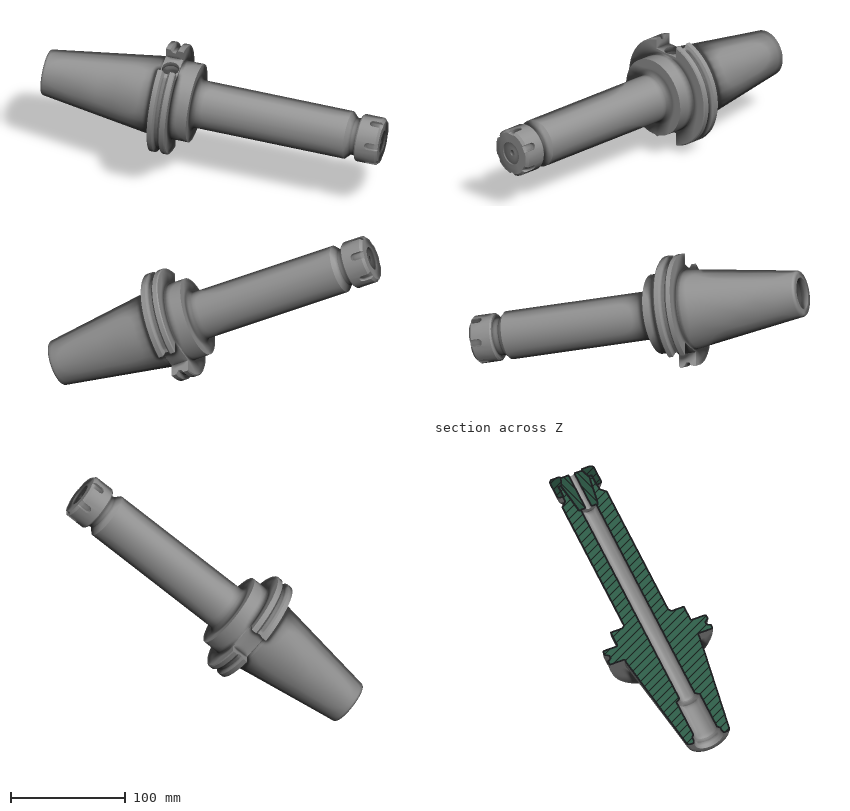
import cadquery as cq
import math


EDGE_MARGIN = 0.3

TAPER_LENGTH = 101.5
GAUGE_DIAMETER = 69.8
TAPER_PER_LENGTH = 7 / 24
TAPER_END_DIAMETER = GAUGE_DIAMETER - TAPER_LENGTH * TAPER_PER_LENGTH
TAPER_END_ROUND = 2.7
FLANGE_START = 105.0
FLANGE_WIDTH = 16.0
FLANGE_END = FLANGE_START + FLANGE_WIDTH
FLANGE_DIAMETER = 98.0
FLANGE_CHAMFER = 1.0
FLANGE_ROOT_FILLET = 1.0
COLLAR_DIAMETER = 69.8
COLLAR_END = 136.2

GROOVE_CENTER = 112.5
GROOVE_FLOOR_WIDTH = 2.7
GROOVE_DEPTH = 3.5
GROOVE_MOUTH_WIDTH = 7.0
SLOT_WIDTH = 25.5
UPPER_SLOT_FLOOR = 37.5
LOWER_SLOT_FLOOR = 35.5
DIMPLE_X = FLANGE_START + FLANGE_WIDTH / 2
DIMPLE_DIAMETER = 15.2
DIMPLE_WALL_DEPTH = 4.5
DRILL_TIP_ANGLE = 120

SHANK_DIAMETER = 42.5
SHANK_END = 274.3
SHANK_FILLET = 3.7
NECK_DIAMETER = 33.0
THREAD_DIAMETER = 32.0
NOSE_END = 295.7

ENTRY_MOUTH_DIAMETER = 28.0
ENTRY_DIAMETER = 26.2
ENTRY_MOUTH_DEPTH = 3.0
ENTRY_DEPTH = 6.0
DRAWBAR_THREAD_DIAMETER = 22.0
DRAWBAR_THREAD_END = 45.7
COOLANT_BORE_DIAMETER = 14.3
COOLANT_MOUTH_DIAMETER = 16.0

COLLET_START = 265.2
COLLET_END = 303.3
COLLET_BACK_DIAMETER = 17.5
COLLET_SHOULDER_DIAMETER = 26.2
COLLET_FRONT_DIAMETER = 20.5
COLLET_BORE_DIAMETER = 5.2

NUT_START = 284.0
NUT_END = 304.8
NUT_DIAMETER = 42.0
NUT_REAR_CHAMFER = 1.2
NUT_FRONT_CHAMFER = 2.0
WRENCH_SLOT_COUNT = 6
WRENCH_SLOT_WIDTH = 6.5
WRENCH_SLOT_LENGTH = 11.5
WRENCH_SLOT_DEPTH = 3.0
WRENCH_SLOT_FLOOR_FILLET = 1.0


def revolve_profile(points):
    """Turn a closed outline of (x, radius) points about the X axis."""
    return cq.Workplane("XY").polyline(points).close().revolve(360, (0, 0, 0), (1, 0, 0))


def ring_at(x, diameter):
    """Select the circular edges at x that are no larger than the diameter."""
    reach = diameter / 2 + EDGE_MARGIN
    return cq.selectors.BoxSelector(
        (x - EDGE_MARGIN, -reach, -reach), (x + EDGE_MARGIN, reach, reach), boundingbox=True
    )


def make_holder():
    neck_start = SHANK_END + (SHANK_DIAMETER - NECK_DIAMETER) / 2
    end_radius = TAPER_END_DIAMETER / 2
    body = revolve_profile([
        (0, 0),
        (0, end_radius),
        (TAPER_LENGTH, GAUGE_DIAMETER / 2),
        (FLANGE_START, GAUGE_DIAMETER / 2),
        (FLANGE_START, FLANGE_DIAMETER / 2),
        (FLANGE_END - FLANGE_CHAMFER, FLANGE_DIAMETER / 2),
        (FLANGE_END, FLANGE_DIAMETER / 2 - FLANGE_CHAMFER),
        (FLANGE_END, COLLAR_DIAMETER / 2),
        (COLLAR_END, COLLAR_DIAMETER / 2),
        (COLLAR_END, SHANK_DIAMETER / 2),
        (SHANK_END, SHANK_DIAMETER / 2),
        (neck_start, NECK_DIAMETER / 2),
        (NUT_START, NECK_DIAMETER / 2),
        (NUT_START, THREAD_DIAMETER / 2),
        (NOSE_END, THREAD_DIAMETER / 2),
        (NOSE_END, 0),
    ])
    body = body.faces("<X").edges().fillet(TAPER_END_ROUND)
    body = body.edges(ring_at(FLANGE_START, GAUGE_DIAMETER)).fillet(FLANGE_ROOT_FILLET)
    body = body.edges(ring_at(FLANGE_END, COLLAR_DIAMETER)).fillet(FLANGE_ROOT_FILLET)
    body = body.edges(ring_at(COLLAR_END, SHANK_DIAMETER)).fillet(SHANK_FILLET)
    return body.cut(gripper_groove()).cut(drive_slots()).cut(dimple()).cut(bores()).cut(collet_blank())


def gripper_groove():
    half_floor = GROOVE_FLOOR_WIDTH / 2
    half_mouth = GROOVE_MOUTH_WIDTH / 2
    rim = FLANGE_DIAMETER / 2
    return revolve_profile([
        (GROOVE_CENTER - half_mouth, rim),
        (GROOVE_CENTER - half_floor, rim - GROOVE_DEPTH),
        (GROOVE_CENTER + half_floor, rim - GROOVE_DEPTH),
        (GROOVE_CENTER + half_mouth, rim),
    ])


def drive_slots():
    middle = (FLANGE_START + FLANGE_END) / 2
    height = FLANGE_DIAMETER / 2
    block = cq.Workplane("XY").box(FLANGE_WIDTH, SLOT_WIDTH, height, centered=(True, True, False))
    upper = block.translate((middle, 0, UPPER_SLOT_FLOOR))
    lower = block.translate((middle, 0, -LOWER_SLOT_FLOOR - height))
    return upper.union(lower)


def dimple():
    radius = DIMPLE_DIAMETER / 2
    tip_depth = radius / math.tan(math.radians(DRILL_TIP_ANGLE / 2))
    profile = (
        cq.Workplane("XZ")
        .polyline([
            (0, 0),
            (radius, 0),
            (radius, -DIMPLE_WALL_DEPTH),
            (0, -DIMPLE_WALL_DEPTH - tip_depth),
        ])
        .close()
    )
    return profile.revolve(360, (0, 0, 0), (0, 1, 0)).translate((DIMPLE_X, 0, UPPER_SLOT_FLOOR))


def bores():
    thread_start = ENTRY_DEPTH + (ENTRY_DIAMETER - DRAWBAR_THREAD_DIAMETER) / 2
    tip_slope = math.tan(math.radians(DRILL_TIP_ANGLE / 2))
    thread_tip_depth = (DRAWBAR_THREAD_DIAMETER - COOLANT_MOUTH_DIAMETER) / 2 / tip_slope
    coolant_mouth = DRAWBAR_THREAD_END + thread_tip_depth
    coolant_mouth_depth = (COOLANT_MOUTH_DIAMETER - COOLANT_BORE_DIAMETER) / 2
    return revolve_profile([
        (0, 0),
        (0, ENTRY_MOUTH_DIAMETER / 2),
        (ENTRY_MOUTH_DEPTH, ENTRY_DIAMETER / 2),
        (ENTRY_DEPTH, ENTRY_DIAMETER / 2),
        (thread_start, DRAWBAR_THREAD_DIAMETER / 2),
        (DRAWBAR_THREAD_END, DRAWBAR_THREAD_DIAMETER / 2),
        (coolant_mouth, COOLANT_MOUTH_DIAMETER / 2),
        (coolant_mouth + coolant_mouth_depth, COOLANT_BORE_DIAMETER / 2),
        (COLLET_START, COOLANT_BORE_DIAMETER / 2),
        (COLLET_START, 0),
    ])


def collet_blank():
    """The collet without its bore; it also shapes the seats in the holder and the nut."""
    return revolve_profile([
        (COLLET_START, 0),
        (COLLET_START, COLLET_BACK_DIAMETER / 2),
        (NOSE_END, COLLET_SHOULDER_DIAMETER / 2),
        (COLLET_END, COLLET_FRONT_DIAMETER / 2),
        (COLLET_END, 0),
    ])


def make_collet():
    bore = cq.Workplane("YZ").workplane(offset=COLLET_START).circle(COLLET_BORE_DIAMETER / 2)
    return collet_blank().cut(bore.extrude(COLLET_END - COLLET_START))


def wrench_slot():
    radius = WRENCH_SLOT_WIDTH / 2
    start = NUT_END - WRENCH_SLOT_LENGTH
    plan = (
        cq.Workplane("XY")
        .workplane(offset=NUT_DIAMETER / 2 - WRENCH_SLOT_DEPTH)
        .moveTo(NUT_END, radius)
        .lineTo(start + radius, radius)
        .threePointArc((start, 0), (start + radius, -radius))
        .lineTo(NUT_END, -radius)
        .close()
    )
    cutter = plan.extrude(2 * WRENCH_SLOT_DEPTH)
    return cutter.faces("<Z").edges("not >X").fillet(WRENCH_SLOT_FLOOR_FILLET)


def make_nut():
    nut = cq.Workplane("YZ").workplane(offset=NUT_START).circle(NUT_DIAMETER / 2).extrude(NUT_END - NUT_START)
    nut = nut.faces("<X").edges().chamfer(NUT_REAR_CHAMFER)
    nut = nut.faces(">X").edges().chamfer(NUT_FRONT_CHAMFER)
    thread = cq.Workplane("YZ").workplane(offset=NUT_START).circle(THREAD_DIAMETER / 2)
    nut = nut.cut(thread.extrude(NOSE_END - NUT_START))
    front_opening = cq.Workplane("YZ").workplane(offset=COLLET_END).circle(COLLET_FRONT_DIAMETER / 2)
    nut = nut.cut(collet_blank()).cut(front_opening.extrude(NUT_END - COLLET_END))
    for index in range(WRENCH_SLOT_COUNT):
        nut = nut.cut(wrench_slot().rotate((0, 0, 0), (1, 0, 0), index * 360 / WRENCH_SLOT_COUNT))
    return nut


holder = make_holder()
collet = make_collet()
nut = make_nut()
result = cq.Compound.makeCompound([holder.val(), collet.val(), nut.val()])